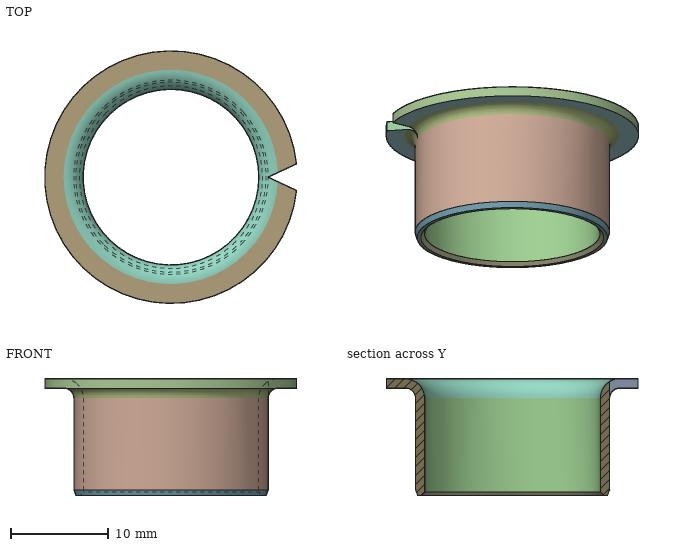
import cadquery as cq
import math

flange_diameter = 25.92
total_height = 12.0
wall = 0.98
bore_radius = 9.0
bend_inner_radius = 1.0
chamfer_height = 0.6
chamfer_angle = 20.0
bore_chamfer = 0.4
notch_angle = 50.0

flange_radius = flange_diameter / 2
tube_radius = bore_radius + wall
mouth_radius = bend_inner_radius + wall
chamfer_inset = chamfer_height * math.tan(math.radians(chamfer_angle))
flange_bottom = total_height - wall
bend_center_r = tube_radius + bend_inner_radius
bend_center_z = flange_bottom - bend_inner_radius


def bend_point(radius):
    """Middle point of a quarter arc around the bend centre."""
    offset = radius * math.sqrt(0.5)
    return bend_center_r - offset, bend_center_z + offset


def flanged_sleeve():
    """Revolve the wall section of the sleeve, bend and flange."""
    section = (
        cq.Workplane("XZ")
        .moveTo(bore_radius + bore_chamfer, 0)
        .lineTo(tube_radius - chamfer_inset, 0)
        .lineTo(tube_radius, chamfer_height)
        .lineTo(tube_radius, bend_center_z)
        .threePointArc(bend_point(bend_inner_radius), (bend_center_r, flange_bottom))
        .lineTo(flange_radius, flange_bottom)
        .lineTo(flange_radius, total_height)
        .lineTo(bend_center_r, total_height)
        .threePointArc(bend_point(mouth_radius), (bore_radius, bend_center_z))
        .lineTo(bore_radius, bore_chamfer)
        .close()
    )
    return section.revolve(360, (0, 0, 0), (0, 1, 0))


def notch_cutter():
    """V prism on +X, with its tip at the outer face of the sleeve."""
    reach = flange_radius
    half_width = reach * math.tan(math.radians(notch_angle / 2))
    return (
        cq.Workplane("XY")
        .workplane(offset=bend_center_z)
        .moveTo(tube_radius, 0)
        .lineTo(tube_radius + reach, -half_width)
        .lineTo(tube_radius + reach, half_width)
        .close()
        .extrude(total_height - bend_center_z)
    )


result = flanged_sleeve().cut(notch_cutter())